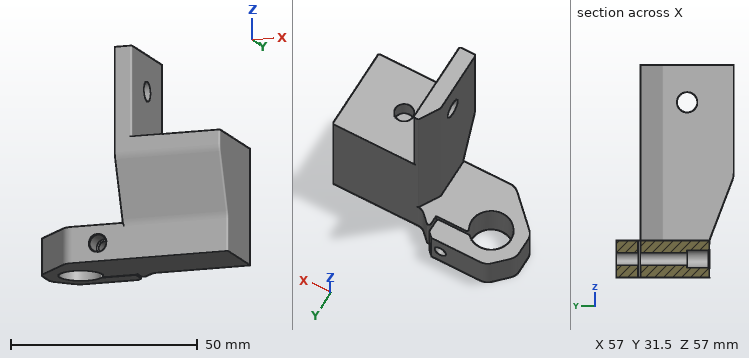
import cadquery as cq
import math


CLAMP_HEIGHT = 10.0
BORE_DIAMETER = 12.0
CLAMP_HALF_WIDTH = 10.0
CLAMP_FRONT_Y = -15.0
BACK_LEFT_CUT = 6.0
FRONT_LEFT_CUT = 11.0
CLAMP_CORNER_RADIUS = 4.0

SLIT_WIDTH = 0.65
JAW_END_X = 14.25
JAW_END_CHAMFER = 1.5
SLIT_LIP_RADIUS = 0.5
JAW_LIP_RADIUS = 0.25

STOP_LEFT_X = 15.0
STOP_FOOT_X = 19.25
STOP_TIP_RADIUS = 0.6
STOP_FOOT_RADIUS = 3.0

BLOCK_LEFT_X = 17.0
BLOCK_LENGTH = 30.0
BLOCK_DEPTH = 25.0
BLOCK_BACK_Y = 3.5
BLOCK_HEIGHT = 57.0
SHELF_HEIGHT = 32.0
WALL_THICKNESS = 5.0
TAPER_TOP_Z = 27.0
TAPER_BEND_RADIUS = 5.0
CORNER_CUT_DEPTH = 6.0
CORNER_CUT_ANGLE = 30.0
EDGE_RADIUS = 0.5

MOUNT_HOLE_DIAMETER = 5.4
MOUNT_HOLE_OFFSET = 10.0
MOUNT_HOLE_DEPTH = WALL_THICKNESS
SCREW_X = 10.0
SCREW_DIAMETER = 3.5
INSERT_DIAMETER = 4.7
INSERT_MOUTH_DIAMETER = 5.0
INSERT_MOUTH_DEPTH = 0.4
INSERT_DEPTH = 6.0

BLOCK_RIGHT_X = BLOCK_LEFT_X + BLOCK_LENGTH
BLOCK_FRONT_Y = BLOCK_BACK_Y - BLOCK_DEPTH
BLOCK_MID_Y = BLOCK_BACK_Y - BLOCK_DEPTH / 2
WALL_RIGHT_X = BLOCK_LEFT_X + WALL_THICKNESS
JAW_FRONT_Y = BLOCK_BACK_Y + SLIT_WIDTH
STOP_TIP_Y = BLOCK_BACK_Y + STOP_FOOT_X - STOP_LEFT_X
CORNER_CUT_WIDTH = CORNER_CUT_DEPTH * math.tan(math.radians(CORNER_CUT_ANGLE))

EDGE_REACH = 0.01
BEND_REACH = 1.0


def round_upright_edge(body, x, y, radius):
    """Round the vertical edge that stands on the underside at (x, y)."""
    edge = body.edges(cq.selectors.BoxSelector(
        (x - EDGE_REACH, y - EDGE_REACH, 0), (x + EDGE_REACH, y + EDGE_REACH, CLAMP_HEIGHT)))
    return edge.fillet(radius)


def make_clamp():
    """Clamp plate with its bore, slit jaw and stop; it runs on under the wall."""
    left, back = -CLAMP_HALF_WIDTH, CLAMP_HALF_WIDTH
    bore_radius = BORE_DIAMETER / 2
    back_left_corners = [(left + BACK_LEFT_CUT, back), (left, back - BACK_LEFT_CUT)]
    front_left_corners = [
        (left, CLAMP_FRONT_Y + FRONT_LEFT_CUT),
        (left + FRONT_LEFT_CUT, CLAMP_FRONT_Y),
    ]
    stop_tip = (STOP_LEFT_X, STOP_TIP_Y)
    stop_foot = (STOP_FOOT_X, BLOCK_BACK_Y)
    outline = (
        back_left_corners
        + front_left_corners
        + [
            (WALL_RIGHT_X, CLAMP_FRONT_Y),
            (WALL_RIGHT_X, BLOCK_BACK_Y),
            stop_foot,
            stop_tip,
            (STOP_LEFT_X, BLOCK_BACK_Y),
            (0, BLOCK_BACK_Y),
            (0, JAW_FRONT_Y),
            (JAW_END_X, JAW_FRONT_Y),
            (JAW_END_X, back - JAW_END_CHAMFER),
            (JAW_END_X - JAW_END_CHAMFER, back),
        ]
    )
    body = cq.Workplane("XY").polyline(outline).close().extrude(CLAMP_HEIGHT)
    body = body.cut(cq.Workplane("XY").circle(bore_radius).extrude(CLAMP_HEIGHT))

    for x, y in back_left_corners + front_left_corners:
        body = round_upright_edge(body, x, y, CLAMP_CORNER_RADIUS)
    body = round_upright_edge(body, *stop_tip, STOP_TIP_RADIUS)
    body = round_upright_edge(body, *stop_foot, STOP_FOOT_RADIUS)
    for lip_y, lip_radius in ((BLOCK_BACK_Y, SLIT_LIP_RADIUS), (JAW_FRONT_Y, JAW_LIP_RADIUS)):
        lip_x = math.sqrt(bore_radius**2 - lip_y**2)
        body = round_upright_edge(body, lip_x, lip_y, lip_radius)
    return body


def make_upright(right_x, height):
    """Part of the block from its left face to right_x, with rounded side edges.

    The front face leans back down to the front face of the clamp.
    """
    front_profile = (
        cq.Workplane("YZ", origin=(BLOCK_LEFT_X, 0, 0))
        .moveTo(BLOCK_BACK_Y, 0)
        .lineTo(BLOCK_BACK_Y, height)
        .lineTo(BLOCK_FRONT_Y, height)
        .lineTo(BLOCK_FRONT_Y, TAPER_TOP_Z)
        .lineTo(CLAMP_FRONT_Y, CLAMP_HEIGHT)
        .lineTo(CLAMP_FRONT_Y, 0)
        .close()
    )
    body = front_profile.extrude(right_x - BLOCK_LEFT_X)

    bend_zone = cq.selectors.BoxSelector(
        (BLOCK_LEFT_X, BLOCK_FRONT_Y - BEND_REACH, CLAMP_HEIGHT - BEND_REACH),
        (right_x, CLAMP_FRONT_Y + BEND_REACH, TAPER_TOP_Z + BEND_REACH),
    )
    body = body.edges("|X").edges(bend_zone).fillet(TAPER_BEND_RADIUS)

    corner_cut = (
        cq.Workplane("XY")
        .moveTo(BLOCK_LEFT_X, BLOCK_BACK_Y)
        .lineTo(BLOCK_LEFT_X + CORNER_CUT_WIDTH, BLOCK_BACK_Y)
        .lineTo(BLOCK_LEFT_X, BLOCK_BACK_Y - CORNER_CUT_DEPTH)
        .close()
        .extrude(height)
    )
    body = body.cut(corner_cut)
    return body.edges("not #Z").fillet(EDGE_RADIUS)


def make_block():
    """Upright wall and shelf, each with its own rounded side edges."""
    wall = make_upright(WALL_RIGHT_X, BLOCK_HEIGHT)
    shelf = make_upright(BLOCK_RIGHT_X, SHELF_HEIGHT)
    return wall.union(shelf)


def make_wall_hole():
    return (
        cq.Workplane("YZ", origin=(BLOCK_LEFT_X, BLOCK_MID_Y, BLOCK_HEIGHT - MOUNT_HOLE_OFFSET))
        .circle(MOUNT_HOLE_DIAMETER / 2)
        .extrude(MOUNT_HOLE_DEPTH)
    )


def make_shelf_hole():
    return (
        cq.Workplane("XY", origin=(WALL_RIGHT_X + MOUNT_HOLE_OFFSET, BLOCK_MID_Y, SHELF_HEIGHT))
        .circle(MOUNT_HOLE_DIAMETER / 2)
        .extrude(-MOUNT_HOLE_DEPTH)
    )


def make_screw_hole():
    """Screw hole through the clamp and its jaw, with an insert seat in the front face."""
    screw_axis = cq.Workplane("XZ", origin=(SCREW_X, CLAMP_FRONT_Y, CLAMP_HEIGHT / 2))
    through = screw_axis.circle(SCREW_DIAMETER / 2).extrude(CLAMP_FRONT_Y - CLAMP_HALF_WIDTH)
    seat = screw_axis.circle(INSERT_DIAMETER / 2).extrude(-INSERT_DEPTH)
    mouth = (
        screw_axis.circle(INSERT_MOUTH_DIAMETER / 2)
        .workplane(offset=-INSERT_MOUTH_DEPTH)
        .circle(INSERT_DIAMETER / 2)
        .loft()
    )
    return through.union(seat).union(mouth)


result = (
    make_clamp()
    .union(make_block())
    .cut(make_wall_hole())
    .cut(make_shelf_hole())
    .cut(make_screw_hole())
)